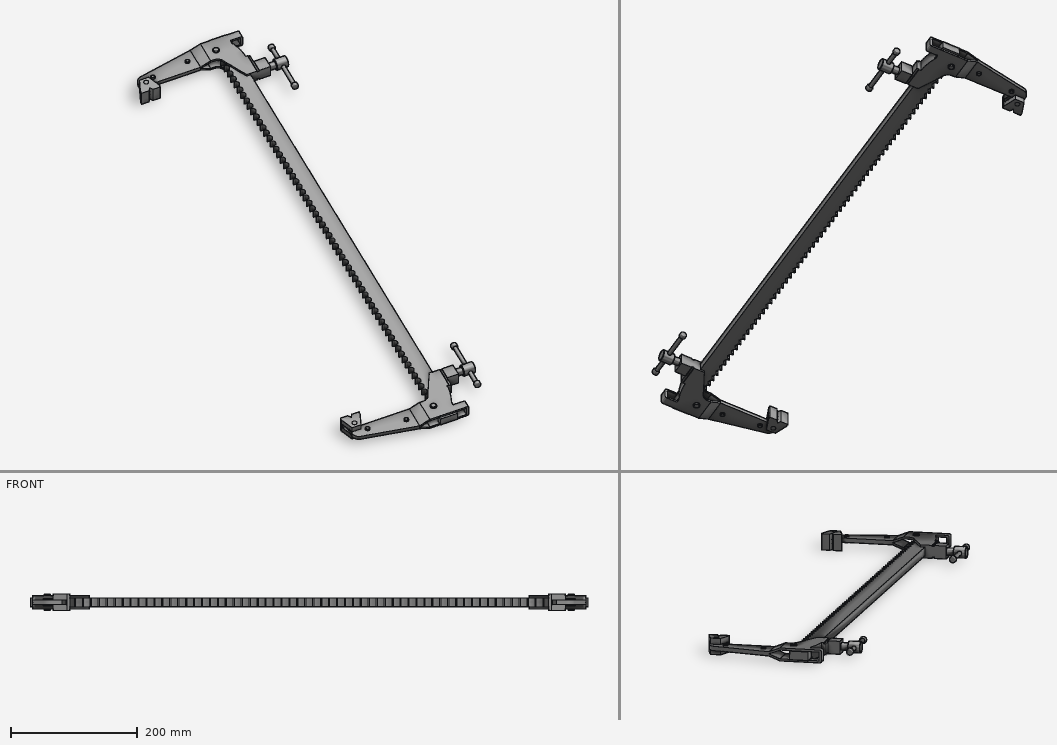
import cadquery as cq

LENGTH = 880.0
HALF_LENGTH = LENGTH / 2

BAR_THICKNESS = 14.0
BAR_TOP = 55.0
TOOTH_ROOT_Y = 31.0
TOOTH_TIP_Y = 25.0
GAPS_PER_SIDE = 34
GAP_SPAN = 852.0
TOOTH_PITCH = GAP_SPAN / (2 * GAPS_PER_SIDE)
GAP_WIDTH = 11.0

PLATE = 3.5
ARM_OUTER_X = -436.5
ARM_TOP = 76.0
CHEEK_INNER_X = -347.0
CHEEK_SEAT_Y = 66.0
CHEEK_INNER_BOTTOM = 47.5
TAB_INNER_X = -423.0
TAB_FOOT_Y = BAR_TOP
CREST_START_X = -417.0
CREST_MIDDLE = (-401.0, 60.0)
TAB_CAP = 4.0
TAB_FILLET = 3.5
CHEEK_HALF = BAR_THICKNESS / 2 + PLATE
BEND_START_Y = 8.0
BEND_END_Y = -10.0
LEG_INNER_X = -397.0
LEG_HALF = PLATE
LEG_TIP_X = -390.0
LEG_TIP_RISE = 6.0
KNEE_START = (-386.0, 27.0)
KNEE_MIDDLE = (-394.0, 22.0)
KNEE_END_Y = 13.0
HEEL_START = (-405.0, -113.5)
HEEL_MIDDLE = (-414.0, -111.0)
HEEL_END = (-418.0, -104.0)

SEAT_OUTER_X = -383.0
SEAT_TOP = 69.5
SEAT_BOTTOM = 62.5
SEAT_HALF = 9.0
NUT_OUTER_X = -368.0
NUT_TOP = 89.0

SCREW_X = -355.5
SCREW_DIAMETER = 12.0
HEAD_DIAMETER = 18.5
HEAD_BOTTOM = 100.0
HEAD_TOP = 121.0
HEAD_CHAMFER = 1.0
HANDLE_X = -347.0
HANDLE_Y = 111.0
HANDLE_LENGTH = 96.0
HANDLE_DIAMETER = 7.0
KNOB_DIAMETER = 11.0
KNOB_LENGTH = 8.0
KNOB_FILLET = 2.0

JAW_HALF = 13.0
JAW_BOTTOM = -121.0
JAW_HEIGHT = 33.0
JAW_HALF_HEIGHT = JAW_HEIGHT / 2
JAW_Y = JAW_BOTTOM + JAW_HALF_HEIGHT
JAW_FACE_X = -377.5
JAW_LAND_X = -382.0
JAW_BACK_X = -404.0
JAW_BACK_HALF_HEIGHT = 8.0
JAW_SLOT_END_X = -384.0
NOTCH_DEPTH = 5.0
NOTCH_HALF_HEIGHT = 3.5
PIN_X = -396.0
PIN_DIAMETER = 8.0

RIVET_HEAD = 3.0
MAIN_RIVET_GAP = 33
MAIN_RIVET_X = -MAIN_RIVET_GAP * TOOTH_PITCH
MAIN_RIVET_Y = TOOTH_TIP_Y
MAIN_RIVET_DIAMETER = 11.0
MAIN_SHANK_DIAMETER = 7.0
LEG_RIVET_DIAMETER = 8.0
LEG_RIVETS = [(-416.0, -24.0), (-408.0, -87.0)]


def z_slab(sketch, half_thickness):
    """Extrude an XY sketch equally to both sides of the Z = 0 plane."""
    return sketch.extrude(half_thickness, both=True)


def z_cylinder(x, y, diameter, half_length):
    return z_slab(cq.Workplane("XY").center(x, y).circle(diameter / 2), half_length)


def y_cylinder(x, diameter, bottom, top):
    return cq.Workplane("XZ", origin=(x, bottom, 0)).circle(diameter / 2).extrude(bottom - top)


def x_cylinder(y, diameter, start, end):
    return cq.Workplane("YZ", origin=(start, y, 0)).circle(diameter / 2).extrude(end - start)


def xy_block(x_start, x_end, y_start, y_end, half_thickness):
    corners = [(x_start, y_start), (x_end, y_start), (x_end, y_end), (x_start, y_end)]
    return z_slab(cq.Workplane("XY").polyline(corners).close(), half_thickness)


def make_bar():
    outline = cq.Workplane("XY").moveTo(-HALF_LENGTH, BAR_TOP).lineTo(-HALF_LENGTH, TOOTH_TIP_Y)
    for index in range(-GAPS_PER_SIDE, GAPS_PER_SIDE + 1):
        x = index * TOOTH_PITCH
        outline = outline.lineTo(x - GAP_WIDTH / 2, TOOTH_TIP_Y)
        outline = outline.threePointArc((x, TOOTH_ROOT_Y), (x + GAP_WIDTH / 2, TOOTH_TIP_Y))
    outline = outline.lineTo(HALF_LENGTH, TOOTH_TIP_Y).lineTo(HALF_LENGTH, BAR_TOP).close()
    return z_slab(outline, BAR_THICKNESS / 2)


def arm_outline():
    """Face outline of the cheeks and leg, down to the square tip inside the jaw."""
    leg_tip_top = JAW_Y + LEG_TIP_RISE
    return (
        cq.Workplane("XY")
        .moveTo(ARM_OUTER_X, ARM_TOP)
        .lineTo(TAB_INNER_X, ARM_TOP)
        .lineTo(TAB_INNER_X, TAB_FOOT_Y)
        .lineTo(CREST_START_X, TAB_FOOT_Y)
        .threePointArc(CREST_MIDDLE, (SEAT_OUTER_X, SEAT_BOTTOM))
        .lineTo(SEAT_OUTER_X, CHEEK_SEAT_Y)
        .lineTo(CHEEK_INNER_X, CHEEK_SEAT_Y)
        .lineTo(CHEEK_INNER_X, CHEEK_INNER_BOTTOM)
        .lineTo(*KNEE_START)
        .threePointArc(KNEE_MIDDLE, (LEG_INNER_X, KNEE_END_Y))
        .lineTo(LEG_INNER_X, leg_tip_top)
        .lineTo(LEG_TIP_X, leg_tip_top)
        .lineTo(LEG_TIP_X, HEEL_START[1])
        .lineTo(*HEEL_START)
        .threePointArc(HEEL_MIDDLE, HEEL_END)
        .lineTo(ARM_OUTER_X, BEND_END_Y)
        .close()
    )


def arm_side_profile():
    """Side shape of the folded sheet: capped at the top, open between the cheeks, flat at the leg."""
    outer = [
        (ARM_TOP, CHEEK_HALF),
        (BEND_START_Y, CHEEK_HALF),
        (BEND_END_Y, LEG_HALF),
        (JAW_BOTTOM, LEG_HALF),
    ]
    inner = [
        (ARM_TOP - TAB_CAP, CHEEK_HALF - PLATE),
        (BEND_START_Y, CHEEK_HALF - PLATE),
        (BEND_END_Y, 0),
    ]
    sheet = yz_mirrored(outer).edges("|X and >Y").fillet(TAB_FILLET)
    return sheet.cut(yz_mirrored(inner))


def yz_mirrored(upper):
    """Prism along X over the -X arm, from the +Z half of a side profile and its mirror image."""
    lower = [(y, -z) for y, z in reversed(upper) if z > 0]
    plane = cq.Workplane("YZ", origin=(-HALF_LENGTH, 0, 0))
    return plane.polyline(upper + lower).close().extrude(HALF_LENGTH + CHEEK_INNER_X)


def rivet(x, y, diameter, half_grip):
    """Cylinder with a bevelled head standing out on each side of the gripped plates."""
    stud = z_cylinder(x, y, diameter, half_grip + RIVET_HEAD)
    return stud.faces("<Z or >Z").edges().chamfer(RIVET_HEAD / 2)


def make_spacer():
    """Filler between the cheeks that rests on the bar and follows the crest of the cheeks."""
    outline = (
        cq.Workplane("XY")
        .moveTo(CREST_START_X, TAB_FOOT_Y)
        .threePointArc(CREST_MIDDLE, (SEAT_OUTER_X, SEAT_BOTTOM))
        .lineTo(SEAT_OUTER_X, CHEEK_SEAT_Y)
        .lineTo(CHEEK_INNER_X, CHEEK_SEAT_Y)
        .lineTo(CHEEK_INNER_X, BAR_TOP)
        .close()
    )
    return z_slab(outline, BAR_THICKNESS / 2)


def make_arm():
    arm = z_slab(arm_outline(), JAW_HALF).intersect(arm_side_profile())
    arm = arm.union(make_spacer())
    arm = arm.union(xy_block(SEAT_OUTER_X, CHEEK_INNER_X, CHEEK_SEAT_Y, SEAT_TOP, SEAT_HALF))
    arm = arm.union(xy_block(NUT_OUTER_X, CHEEK_INNER_X, SEAT_TOP, NUT_TOP, CHEEK_HALF))
    arm = arm.cut(y_cylinder(SCREW_X, SCREW_DIAMETER, BAR_TOP, NUT_TOP))
    main_rivet = rivet(MAIN_RIVET_X, MAIN_RIVET_Y, MAIN_RIVET_DIAMETER, CHEEK_HALF)
    between_heads = z_cylinder(MAIN_RIVET_X, MAIN_RIVET_Y, MAIN_RIVET_DIAMETER, CHEEK_HALF)
    arm = arm.union(main_rivet.cut(between_heads))
    arm = arm.union(z_cylinder(MAIN_RIVET_X, MAIN_RIVET_Y, MAIN_SHANK_DIAMETER, CHEEK_HALF))
    for x, y in LEG_RIVETS:
        arm = arm.union(rivet(x, y, LEG_RIVET_DIAMETER, LEG_HALF))
    return arm.union(z_cylinder(PIN_X, JAW_Y, PIN_DIAMETER, JAW_HALF))


def make_screw():
    screw = y_cylinder(SCREW_X, SCREW_DIAMETER, BAR_TOP, HEAD_BOTTOM)
    head = y_cylinder(SCREW_X, HEAD_DIAMETER, HEAD_BOTTOM, HEAD_TOP)
    screw = screw.union(head.faces("<Y or >Y").edges().chamfer(HEAD_CHAMFER))
    start = HANDLE_X - HANDLE_LENGTH / 2
    return screw.cut(x_cylinder(HANDLE_Y, HANDLE_DIAMETER, start, start + HANDLE_LENGTH))


def make_handle():
    start = HANDLE_X - HANDLE_LENGTH / 2
    end = start + HANDLE_LENGTH
    handle = x_cylinder(HANDLE_Y, HANDLE_DIAMETER, start, end)
    for knob_start in (start, end - KNOB_LENGTH):
        knob = x_cylinder(HANDLE_Y, KNOB_DIAMETER, knob_start, knob_start + KNOB_LENGTH)
        handle = handle.union(knob.faces("<X or >X").edges().fillet(KNOB_FILLET))
    return handle


def make_jaw():
    upper = [
        (JAW_BACK_X, JAW_BACK_HALF_HEIGHT),
        (JAW_LAND_X, JAW_HALF_HEIGHT),
        (JAW_FACE_X, JAW_HALF_HEIGHT),
        (JAW_FACE_X, NOTCH_HALF_HEIGHT),
    ]
    lower = [(x, -y) for x, y in reversed(upper)]
    outline = upper + [(JAW_FACE_X - NOTCH_DEPTH, 0)] + lower
    jaw = z_slab(cq.Workplane("XY").center(0, JAW_Y).polyline(outline).close(), JAW_HALF)
    slot = xy_block(JAW_BACK_X, JAW_SLOT_END_X, JAW_BOTTOM, JAW_BOTTOM + JAW_HEIGHT, LEG_HALF)
    return jaw.cut(slot).cut(z_cylinder(PIN_X, JAW_Y, PIN_DIAMETER, JAW_HALF))


bodies = [make_bar().val()]
for make_body in (make_arm, make_screw, make_handle, make_jaw):
    body = make_body()
    bodies += [body.val(), body.mirror("YZ").val()]

result = cq.Compound.makeCompound(bodies)